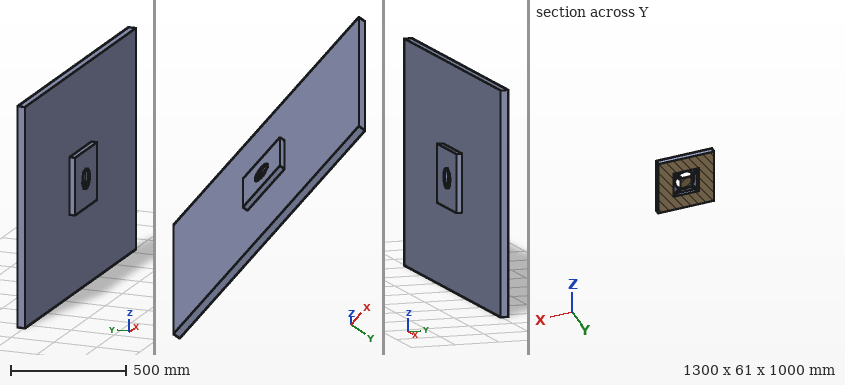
import cadquery as cq
import math

BOARD_WIDTH = 1300.0
BOARD_HEIGHT = 1000.0
BOARD_THICKNESS = 35.0

BOX_SIZE = 260.0
BOX_DEPTH = 26.0
FRONT_WALL = 8.0
HOLE_DIAMETER = 90.0
CAVITY_SIZE = 117.0

GRID_THICKNESS = 1.0
CENTRE_SQUARE = 53.0
RIB_WIDTH = 10.0
SIDE_COUNT = 4

BOARD_FRONT = 0.0
BOX_FRONT = BOARD_FRONT - BOX_DEPTH
CAVITY_FRONT = BOX_FRONT + FRONT_WALL
GRID_FRONT = BOARD_FRONT - GRID_THICKNESS


def block(width, height, front, depth):
    """Block centred on the Y axis, running back (+Y) from the plane y = front."""
    return cq.Workplane("XY").box(width, depth, height).translate((0, front + depth / 2, 0))


def make_board():
    """Plain rectangular board."""
    return block(BOARD_WIDTH, BOARD_HEIGHT, BOARD_FRONT, BOARD_THICKNESS)


def make_box():
    """Square block with a round hole at the front that opens into a square cavity at the back."""
    box = block(BOX_SIZE, BOX_SIZE, BOX_FRONT, BOX_DEPTH)
    cavity = block(CAVITY_SIZE, CAVITY_SIZE, CAVITY_FRONT, BOX_DEPTH - FRONT_WALL)
    hole = (
        cq.Workplane("XZ", origin=(0, CAVITY_FRONT, 0))
        .circle(HOLE_DIAMETER / 2)
        .extrude(FRONT_WALL)
    )
    return box.cut(cavity).cut(hole)


def make_window():
    """Trapezoid cutter from the top of the centre square to the cavity wall, between two ribs."""
    rib_inset = RIB_WIDTH / math.sqrt(2)
    inner = CENTRE_SQUARE / 2
    outer = CAVITY_SIZE / 2
    return (
        cq.Workplane("XZ", origin=(0, BOARD_FRONT, 0))
        .moveTo(rib_inset - inner, inner)
        .lineTo(inner - rib_inset, inner)
        .lineTo(outer - rib_inset, outer)
        .lineTo(rib_inset - outer, outer)
        .close()
        .extrude(GRID_THICKNESS)
    )


def make_grid():
    """Thin plate at the back of the cavity, with a window on each side of its centre square."""
    grid = block(CAVITY_SIZE, CAVITY_SIZE, GRID_FRONT, GRID_THICKNESS)
    window = make_window()
    for side in range(SIDE_COUNT):
        angle = side * 360 / SIDE_COUNT
        grid = grid.cut(window.rotate((0, 0, 0), (0, 1, 0), angle))
    return grid


board = make_board()
box = make_box()
grid = make_grid()

result = cq.Compound.makeCompound([board.val(), box.val(), grid.val()])